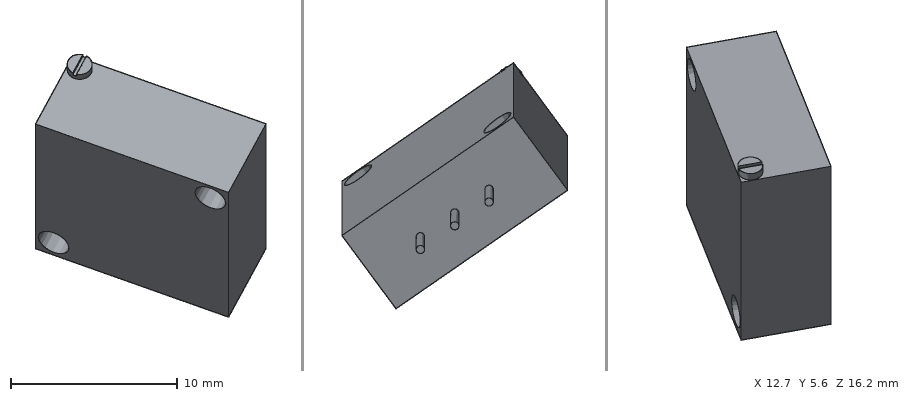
import cadquery as cq

HOUSING_SIDE = 12.7
HOUSING_DEPTH = 5.6

HOLE_DIAMETER = 2.0
HOLE_OFFSET_X = 5.15
LOWER_HOLE_HEIGHT = 1.3
UPPER_HOLE_DROP = 1.2

SCREW_DIAMETER = 1.5
SCREW_HEIGHT = 0.5
SCREW_INSET = 0.8
SLOT_WIDTH = 0.25
SLOT_DEPTH = 0.2

PIN_DIAMETER = 0.5
PIN_LENGTH = 3.0
PIN_PITCH = 2.55
PIN_COUNT = 3


def make_housing():
    """Square block with two mounting holes running through its depth."""
    block = cq.Workplane("XY").box(
        HOUSING_SIDE, HOUSING_DEPTH, HOUSING_SIDE, centered=(True, True, False)
    )
    hole_centres = [
        (-HOLE_OFFSET_X, LOWER_HOLE_HEIGHT),
        (HOLE_OFFSET_X, HOUSING_SIDE - UPPER_HOLE_DROP),
    ]
    holes = (
        cq.Workplane("XZ")
        .pushPoints(hole_centres)
        .circle(HOLE_DIAMETER / 2)
        .extrude(HOUSING_DEPTH / 2, both=True)
    )
    return block.cut(holes)


def make_screw():
    """Flat round screw head with a driver slot along Y."""
    head = cq.Workplane("XY").circle(SCREW_DIAMETER / 2).extrude(SCREW_HEIGHT)
    slot = (
        cq.Workplane("XY")
        .workplane(offset=SCREW_HEIGHT - SLOT_DEPTH)
        .rect(SLOT_WIDTH, SCREW_DIAMETER)
        .extrude(SLOT_DEPTH)
    )
    screw_x = SCREW_INSET - HOUSING_SIDE / 2
    screw_y = HOUSING_DEPTH / 2 - SCREW_INSET
    return head.cut(slot).translate((screw_x, screw_y, HOUSING_SIDE))


def make_pin(x):
    """Round pin hanging from the underside of the housing."""
    return cq.Workplane("XY").center(x, 0).circle(PIN_DIAMETER / 2).extrude(-PIN_LENGTH)


housing = make_housing()
screw = make_screw()
pins = []
for index in range(PIN_COUNT):
    pin_x = (index - (PIN_COUNT - 1) / 2) * PIN_PITCH
    pins.append(make_pin(pin_x).val())

result = cq.Compound.makeCompound([housing.val(), screw.val(), *pins])